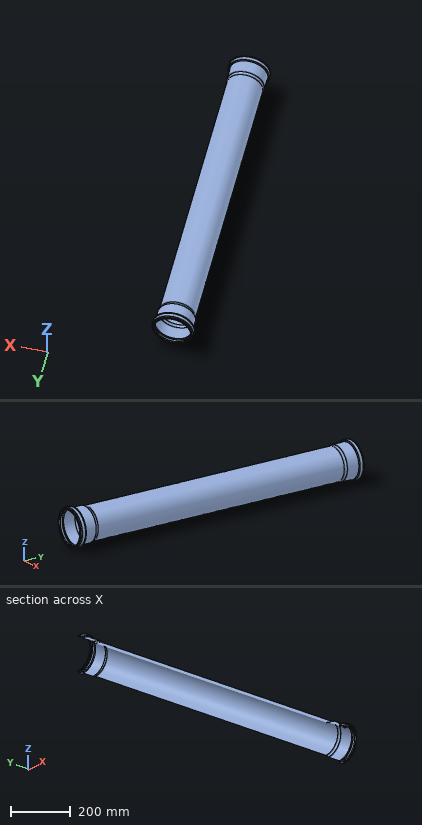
import cadquery as cq
import math

total_length = 1150.0
half_length = total_length / 2

body_outer_radius = 125.2 / 2
body_inner_radius = 119.0 / 2

socket_outer_radius = 131.6 / 2
socket_inner_radius = 126.0 / 2
socket_wall = socket_outer_radius - socket_inner_radius

lip_inner_radius = 126.2 / 2
lip_outer_radius = lip_inner_radius + socket_wall
lip_length = 4.2

bead_outer_radius = 144.4 / 2
groove_radius = bead_outer_radius - socket_wall
bead_width = 18.0
bead_round = socket_wall

sleeve_end_distance = 67.0
taper_length = 10.0

bead_front_y = half_length - lip_length
bead_rear_y = bead_front_y - bead_width
groove_front_y = bead_front_y - socket_wall
groove_rear_y = bead_rear_y + socket_wall
sleeve_end_y = half_length - sleeve_end_distance
taper_end_y = sleeve_end_y - taper_length


def revolve_about_axis(outline):
    """Solid of revolution of an open outline, closed first, about the pipe axis."""
    return outline.close().revolve(360, (0, 0, 0), (0, 1, 0))


def socket_outer_body():
    """Outer shape of the +Y socket and its taper, before boring."""
    round_center_radius = bead_outer_radius - bead_round
    front_center_y = bead_front_y - bead_round
    rear_center_y = bead_rear_y + bead_round
    diagonal = bead_round * math.sqrt(0.5)
    round_middle_radius = round_center_radius + diagonal
    outline = (
        cq.Workplane("XY")
        .moveTo(0, half_length)
        .lineTo(lip_outer_radius, half_length)
        .lineTo(lip_outer_radius, bead_front_y)
        .lineTo(round_center_radius, bead_front_y)
        .threePointArc(
            (round_middle_radius, front_center_y + diagonal),
            (bead_outer_radius, front_center_y),
        )
        .lineTo(bead_outer_radius, rear_center_y)
        .threePointArc(
            (round_middle_radius, rear_center_y - diagonal),
            (round_center_radius, bead_rear_y),
        )
        .lineTo(socket_outer_radius, bead_rear_y)
        .lineTo(socket_outer_radius, sleeve_end_y)
        .lineTo(body_outer_radius, taper_end_y)
        .lineTo(0, taper_end_y)
    )
    return revolve_about_axis(outline)


def socket_bore():
    """Stepped bore of the +Y socket and its taper, with the seal groove."""
    outline = (
        cq.Workplane("XY")
        .moveTo(0, half_length)
        .lineTo(lip_inner_radius, half_length)
        .lineTo(lip_inner_radius, groove_front_y)
        .lineTo(groove_radius, groove_front_y)
        .lineTo(groove_radius, groove_rear_y)
        .lineTo(socket_inner_radius, groove_rear_y)
        .lineTo(socket_inner_radius, sleeve_end_y)
        .lineTo(body_inner_radius, taper_end_y)
        .lineTo(0, taper_end_y)
    )
    return revolve_about_axis(outline)


def body_tube():
    """Plain tube reaching from one taper to the other."""
    return (
        cq.Workplane("XZ", origin=(0, taper_end_y, 0))
        .circle(body_outer_radius)
        .circle(body_inner_radius)
        .extrude(2 * taper_end_y)
    )


socket = socket_outer_body().cut(socket_bore())
result = body_tube().union(socket).union(socket.mirror("XZ"))